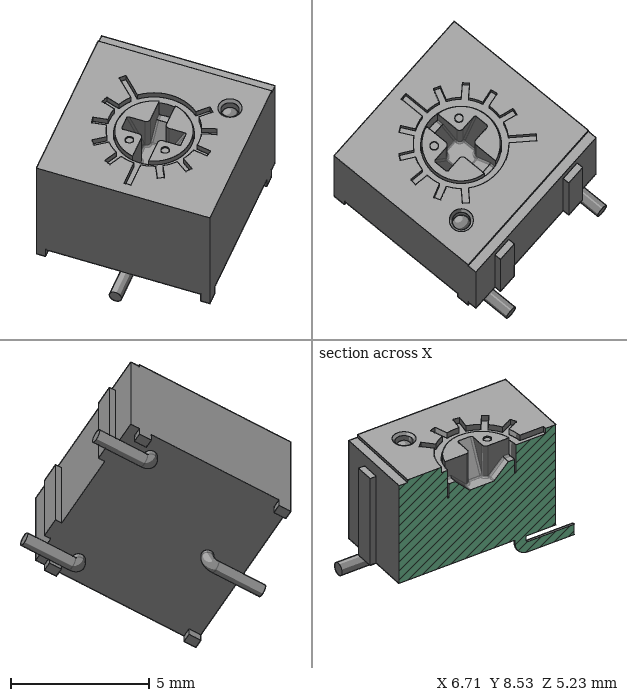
import cadquery as cq
import math

OVERALL_LENGTH = 8.53
OVERALL_HEIGHT = 5.23

HOUSING_WIDTH = 6.71
FRONT_Y = -3.19
BACK_Y = 3.565
TOP_Z = 4.48
LEDGE_Y = 3.2
LEDGE_DROP = 0.12

FOOT_WIDTH = 0.36
FOOT_LENGTH = 0.5
FOOT_HEIGHT = 0.38

PAD_INNER_X = 1.52
PAD_OUTER_X = 2.295
PAD_THICKNESS = 0.265
PAD_HEIGHT = 3.86

BACK_PIN_DIAMETER = 0.51
BACK_PIN_X = 2.54
BACK_PIN_Y = 2.25
BACK_PIN_END_Y = 4.54
BACK_PIN_BEND = 0.265
FRONT_PIN_DIAMETER = 0.48
FRONT_PIN_Y = -1.67
FRONT_PIN_END_Y = BACK_PIN_END_Y - OVERALL_LENGTH
FRONT_PIN_BEND = 0.34
PIN_BOTTOM_Z = TOP_Z - OVERALL_HEIGHT
PIN_AXIS_Z = PIN_BOTTOM_Z + BACK_PIN_DIAMETER / 2
PIN_EMBED = 0.085

RECESS_RADIUS = 1.73
RECESS_DEPTH = 0.24
RECESS_FLOOR_Z = TOP_Z - RECESS_DEPTH
TICK_WIDTH = 0.265
TICK_STEP = 27
TICK_COUNT = 11
FIRST_TICK_ANGLE = 135
SHORT_TICK_REACH = 2.29
LONG_TICK_REACH = 2.74
LONG_TICKS = (0, 5)

ROTOR_RADIUS = 1.42
ROTOR_GAP = 0.05
ROTOR_HEIGHT = 0.15
ROTOR_TOP_Z = RECESS_FLOOR_Z + ROTOR_HEIGHT
DIMPLE_RADIUS = 0.15
DIMPLE_OFFSET = 0.69
DIMPLE_DEPTH = 0.06

CUT_MARGIN = 0.01
SLOT_WIDTH = 0.62
SLOT_DEPTH = 1.4
SLOT_FLOOR_Z = ROTOR_TOP_Z - SLOT_DEPTH
SLOT_ARM_REACH = 1.14
LONG_ARM_REACH = ROTOR_RADIUS + CUT_MARGIN
SLOT_FLOOR_REACH = 0.49
LONG_ARM_FLOOR_REACH = 0.52
SLOT_SHELF_DEPTH = 0.78
SLOT_SHELF_Z = ROTOR_TOP_Z - SLOT_SHELF_DEPTH
SLOT_CORNER_RADIUS = 0.15
SLOT_FLOOR_FILLET = 0.07

MARK_X = 2.23
MARK_Y = 1.91
MARK_RADIUS = 0.435
MARK_WELL_RADIUS = 0.33
MARK_CHAMFER_DEPTH = 0.1
MARK_DEPTH = 0.46
MARK_DOME_HEIGHT = 0.315


def box(x0, x1, y0, y1, z0, z1):
    """Box spanning the given limits."""
    return cq.Workplane("XY").box(x1 - x0, y1 - y0, z1 - z0, centered=False).translate((x0, y0, z0))


def housing():
    half = HOUSING_WIDTH / 2
    body = box(-half, half, FRONT_Y, BACK_Y, 0, TOP_Z)
    body = body.cut(box(-half, half, LEDGE_Y, BACK_Y, TOP_Z - LEDGE_DROP, TOP_Z))
    for side in (-1, 1):
        foot_x = sorted((side * half, side * (half - FOOT_WIDTH)))
        pad_x = sorted((side * PAD_INNER_X, side * PAD_OUTER_X))
        for foot_y in (FRONT_Y, LEDGE_Y - FOOT_LENGTH):
            body = body.union(box(*foot_x, foot_y, foot_y + FOOT_LENGTH, -FOOT_HEIGHT, 0))
        body = body.union(box(*pad_x, BACK_Y, BACK_Y + PAD_THICKNESS, 0, PAD_HEIGHT))
    return body


def bent_pin(x, y, end_y, diameter, bend):
    """Pin going down from the underside at (x, y), then turning to run out to end_y."""
    outward = math.copysign(1, end_y - y)
    bend_z = PIN_AXIS_Z + bend
    diagonal = bend * math.sqrt(0.5)
    path = (
        cq.Workplane("YZ", origin=(x, 0, 0))
        .moveTo(y, PIN_EMBED)
        .lineTo(y, bend_z)
        .threePointArc(
            (y + outward * (bend - diagonal), bend_z - diagonal),
            (y + outward * bend, PIN_AXIS_Z),
        )
        .lineTo(end_y, PIN_AXIS_Z)
    )
    return cq.Workplane("XY", origin=(x, y, PIN_EMBED)).circle(diameter / 2).sweep(path)


def dial_recess():
    """Round recess and tick grooves, with the rotor left standing in the middle."""
    floor = cq.Workplane("XY", origin=(0, 0, RECESS_FLOOR_Z))
    recess = floor.circle(RECESS_RADIUS).extrude(RECESS_DEPTH)
    for index in range(TICK_COUNT):
        reach = LONG_TICK_REACH if index in LONG_TICKS else SHORT_TICK_REACH
        tick = box(0, reach, -TICK_WIDTH / 2, TICK_WIDTH / 2, RECESS_FLOOR_Z, TOP_Z)
        angle = FIRST_TICK_ANGLE + index * TICK_STEP
        recess = recess.union(tick.rotate((0, 0, 0), (0, 0, 1), angle))
    rotor = floor.circle(ROTOR_RADIUS).extrude(ROTOR_HEIGHT)
    return recess.cut(rotor)


def rotor_gap():
    """Narrow ring around the rotor, as deep as the driver slot."""
    return (
        cq.Workplane("XY", origin=(0, 0, SLOT_FLOOR_Z))
        .circle(ROTOR_RADIUS + ROTOR_GAP)
        .circle(ROTOR_RADIUS)
        .extrude(SLOT_DEPTH)
    )


def driver_slot():
    """Cross-shaped cutter; the arms along Y have a shelf and run out to the rotor's rim."""
    side_arms = (
        cq.Workplane("XZ")
        .moveTo(-SLOT_ARM_REACH, ROTOR_TOP_Z)
        .lineTo(-SLOT_FLOOR_REACH, SLOT_FLOOR_Z)
        .lineTo(SLOT_FLOOR_REACH, SLOT_FLOOR_Z)
        .lineTo(SLOT_ARM_REACH, ROTOR_TOP_Z)
        .close()
        .extrude(SLOT_WIDTH / 2, both=True)
    )
    long_arms = (
        cq.Workplane("YZ")
        .moveTo(-LONG_ARM_REACH, ROTOR_TOP_Z)
        .lineTo(-LONG_ARM_REACH, SLOT_SHELF_Z)
        .lineTo(-SLOT_ARM_REACH, SLOT_SHELF_Z)
        .lineTo(-LONG_ARM_FLOOR_REACH, SLOT_FLOOR_Z)
        .lineTo(LONG_ARM_FLOOR_REACH, SLOT_FLOOR_Z)
        .lineTo(SLOT_ARM_REACH, SLOT_SHELF_Z)
        .lineTo(LONG_ARM_REACH, SLOT_SHELF_Z)
        .lineTo(LONG_ARM_REACH, ROTOR_TOP_Z)
        .close()
        .extrude(SLOT_WIDTH / 2, both=True)
    )
    corner = SLOT_WIDTH / 2 + CUT_MARGIN
    inner_corners = cq.selectors.BoxSelector((-corner, -corner, SLOT_FLOOR_Z), (corner, corner, ROTOR_TOP_Z))
    slot = side_arms.union(long_arms)
    slot = slot.edges("|Z").edges(inner_corners).fillet(SLOT_CORNER_RADIUS)
    below_top = cq.selectors.BoxSelector(
        (-SLOT_ARM_REACH, -ROTOR_RADIUS, SLOT_FLOOR_Z - SLOT_FLOOR_FILLET),
        (SLOT_ARM_REACH, ROTOR_RADIUS, ROTOR_TOP_Z - SLOT_FLOOR_FILLET),
    )
    shelf_ridges = cq.selectors.BoxSelector(
        (-SLOT_FLOOR_FILLET, -SLOT_ARM_REACH - SLOT_FLOOR_FILLET, SLOT_SHELF_Z - SLOT_FLOOR_FILLET),
        (SLOT_FLOOR_FILLET, SLOT_ARM_REACH + SLOT_FLOOR_FILLET, SLOT_SHELF_Z + SLOT_FLOOR_FILLET),
    )
    return slot.edges("not |Z").edges(below_top - shelf_ridges).fillet(SLOT_FLOOR_FILLET)


def rotor_dimples():
    return (
        cq.Workplane("XY", origin=(0, 0, ROTOR_TOP_Z))
        .pushPoints([(-DIMPLE_OFFSET, -DIMPLE_OFFSET), (DIMPLE_OFFSET, -DIMPLE_OFFSET)])
        .circle(DIMPLE_RADIUS)
        .extrude(-DIMPLE_DEPTH)
    )


def index_mark():
    """Cutter for the round mark, revolved about its own vertical axis."""
    dome_radius = (MARK_WELL_RADIUS**2 + MARK_DOME_HEIGHT**2) / (2 * MARK_DOME_HEIGHT)
    dome_centre_z = MARK_DOME_HEIGHT - MARK_DEPTH - dome_radius
    mid_x = MARK_WELL_RADIUS / 2
    mid_z = dome_centre_z + math.sqrt(dome_radius**2 - mid_x**2)
    return (
        cq.Workplane("XZ")
        .moveTo(0, 0)
        .lineTo(MARK_RADIUS, 0)
        .lineTo(MARK_WELL_RADIUS, -MARK_CHAMFER_DEPTH)
        .lineTo(MARK_WELL_RADIUS, -MARK_DEPTH)
        .threePointArc((mid_x, mid_z), (0, MARK_DOME_HEIGHT - MARK_DEPTH))
        .close()
        .revolve(360, (0, 0, 0), (0, 1, 0))
        .translate((MARK_X, MARK_Y, TOP_Z))
    )


result = housing()
for cutter in (dial_recess(), rotor_gap(), driver_slot(), rotor_dimples(), index_mark()):
    result = result.cut(cutter)
for pin_x in (-BACK_PIN_X, BACK_PIN_X):
    result = result.union(bent_pin(pin_x, BACK_PIN_Y, BACK_PIN_END_Y, BACK_PIN_DIAMETER, BACK_PIN_BEND))
result = result.union(bent_pin(0, FRONT_PIN_Y, FRONT_PIN_END_Y, FRONT_PIN_DIAMETER, FRONT_PIN_BEND))